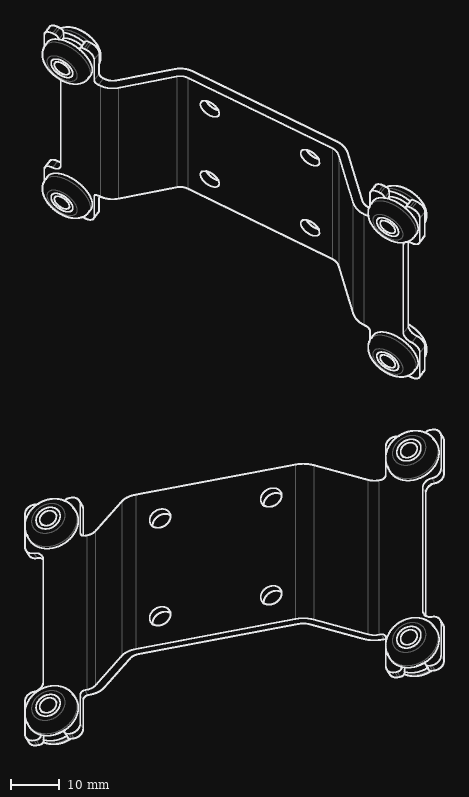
import cadquery as cq
import math

LENGTH = 90.0
DEPTH = 15.8
HEIGHT = 58.0
SHEET = 2.0
HALF_SHEET = SHEET / 2
PLATE_HALF_HEIGHT = 19.0

MIDDLE_HALF = 17.3
BEND_RADIUS = 3.0
BEND_ANGLE = math.radians(45)

EAR = 12.0
EAR_X = (LENGTH - EAR) / 2
EAR_Z = (HEIGHT - EAR) / 2
EAR_ROUND = 2.0
WAIST_ROUND = 2.0
RELIEF_ROUND = 1.0
WAIST_STEP = EAR_ROUND + WAIST_ROUND

SEAT_RADIUS = 4.0
MOUTH_HALF = 2.5
MOUTH_ROUND = 1.0

GROMMET_RADIUS = 5.6
GROMMET_LENGTH = 7.65
GROMMET_ROUND = 2.0
SLEEVE_RADIUS = 2.6
SLEEVE_BORE_RADIUS = 1.8

HOLE_PITCH = 24.0
HOLE_DIAMETER = 4.5

RISE = DEPTH - HALF_SHEET - GROMMET_LENGTH / 2

MEAN_RADIUS = BEND_RADIUS + HALF_SHEET
SLOPE_RISE = RISE - 2 * MEAN_RADIUS * (1 - math.cos(BEND_ANGLE))
SLOPE_RUN = SLOPE_RISE / math.tan(BEND_ANGLE)
FLANGE_START = MIDDLE_HALF + SLOPE_RUN + 2 * MEAN_RADIUS * math.sin(BEND_ANGLE)

DIAGONAL = math.sqrt(0.5)


def xz_plane(y):
    """Plane at height y whose local axes are X and Z; it extrudes toward -Y."""
    return cq.Workplane("XZ", origin=(0, y, 0))


def bent_half():
    """Half of the middle plate, from X = 0 out to the end flange on the +X side."""
    upper_center = (MIDDLE_HALF, RISE - MEAN_RADIUS)
    lower_center = (FLANGE_START, MEAN_RADIUS)

    def upper(radius, angle):
        return (upper_center[0] + radius * math.sin(angle), upper_center[1] + radius * math.cos(angle))

    def lower(radius, angle):
        return (lower_center[0] - radius * math.sin(angle), lower_center[1] - radius * math.cos(angle))

    inside = BEND_RADIUS
    outside = BEND_RADIUS + SHEET
    half_angle = BEND_ANGLE / 2
    profile = (
        cq.Workplane("XY", origin=(0, 0, -PLATE_HALF_HEIGHT))
        .moveTo(0, RISE + HALF_SHEET)
        .lineTo(*upper(outside, 0))
        .threePointArc(upper(outside, half_angle), upper(outside, BEND_ANGLE))
        .lineTo(*lower(inside, BEND_ANGLE))
        .threePointArc(lower(inside, half_angle), lower(inside, 0))
        .lineTo(*lower(outside, 0))
        .threePointArc(lower(outside, half_angle), lower(outside, BEND_ANGLE))
        .lineTo(*upper(inside, BEND_ANGLE))
        .threePointArc(upper(inside, half_angle), upper(inside, 0))
        .lineTo(0, RISE - HALF_SHEET)
        .close()
    )
    return profile.extrude(2 * PLATE_HALF_HEIGHT)


def flange_quarter():
    """Upper half of the +X end flange with its ear and open seat."""
    inner = EAR_X - EAR / 2
    outer = EAR_X + EAR / 2
    top = EAR_Z + EAR / 2
    bottom = EAR_Z - EAR / 2
    waist = outer - WAIST_STEP
    mouth_z = EAR_Z + math.sqrt(SEAT_RADIUS**2 - MOUTH_HALF**2)
    near_lip = EAR_X - MOUTH_HALF
    far_lip = EAR_X + MOUTH_HALF

    def arc(sketch, center, radius, toward, end):
        """Quarter arc whose middle lies diagonally from center in direction toward."""
        middle = (center[0] + radius * DIAGONAL * toward[0], center[1] + radius * DIAGONAL * toward[1])
        return sketch.threePointArc(middle, end)

    edge = xz_plane(HALF_SHEET).moveTo(FLANGE_START, 0).lineTo(FLANGE_START, PLATE_HALF_HEIGHT)

    relief = (inner - RELIEF_ROUND, PLATE_HALF_HEIGHT + RELIEF_ROUND)
    edge = edge.lineTo(relief[0], PLATE_HALF_HEIGHT)
    edge = arc(edge, relief, RELIEF_ROUND, (1, -1), (inner, relief[1]))
    corner = (inner + EAR_ROUND, top - EAR_ROUND)
    edge = edge.lineTo(inner, corner[1])
    edge = arc(edge, corner, EAR_ROUND, (-1, 1), (corner[0], top))

    lip = (near_lip - MOUTH_ROUND, top - MOUTH_ROUND)
    edge = edge.lineTo(lip[0], top)
    edge = arc(edge, lip, MOUTH_ROUND, (1, 1), (near_lip, lip[1]))
    edge = edge.lineTo(near_lip, mouth_z)
    edge = edge.threePointArc((EAR_X, EAR_Z - SEAT_RADIUS), (far_lip, mouth_z))
    lip = (far_lip + MOUTH_ROUND, top - MOUTH_ROUND)
    edge = edge.lineTo(far_lip, lip[1])
    edge = arc(edge, lip, MOUTH_ROUND, (-1, 1), (lip[0], top))

    corner = (outer - EAR_ROUND, top - EAR_ROUND)
    edge = edge.lineTo(corner[0], top)
    edge = arc(edge, corner, EAR_ROUND, (1, 1), (outer, corner[1]))
    corner = (outer - EAR_ROUND, bottom + EAR_ROUND)
    edge = edge.lineTo(outer, corner[1])
    edge = arc(edge, corner, EAR_ROUND, (1, -1), (corner[0], bottom))
    hollow = (waist + WAIST_ROUND, bottom - WAIST_ROUND)
    edge = arc(edge, hollow, WAIST_ROUND, (-1, 1), (waist, hollow[1]))

    return edge.lineTo(waist, 0).close().extrude(SHEET)


def make_bracket():
    """Bent sheet bracket with four open seats and four mounting holes."""
    quarter = flange_quarter()
    half = bent_half().union(quarter).union(quarter.mirror("XY"))
    bracket = half.union(half.mirror("YZ"))
    holes = (
        xz_plane(RISE + SHEET)
        .rect(HOLE_PITCH, HOLE_PITCH, forConstruction=True)
        .vertices()
        .circle(HOLE_DIAMETER / 2)
        .extrude(2 * SHEET)
    )
    return bracket.cut(holes)


def make_grommet(x, z):
    """Rounded rubber grommet, grooved to sit in an ear and bored for its sleeve."""
    half_length = GROMMET_LENGTH / 2
    body = xz_plane(half_length).center(x, z).circle(GROMMET_RADIUS).extrude(GROMMET_LENGTH)
    body = body.faces("<Y or >Y").edges().fillet(GROMMET_ROUND)
    groove = (
        xz_plane(HALF_SHEET)
        .center(x, z)
        .circle(GROMMET_RADIUS + SHEET)
        .circle(SEAT_RADIUS)
        .extrude(SHEET)
    )
    bore = xz_plane(half_length).center(x, z).circle(SLEEVE_RADIUS).extrude(GROMMET_LENGTH)
    return body.cut(groove).cut(bore)


def make_sleeve(x, z):
    """Plain tube, flush with both ends of its grommet."""
    return (
        xz_plane(GROMMET_LENGTH / 2)
        .center(x, z)
        .circle(SLEEVE_RADIUS)
        .circle(SLEEVE_BORE_RADIUS)
        .extrude(GROMMET_LENGTH)
    )


bracket = make_bracket()
grommets = []
sleeves = []
for x in (-EAR_X, EAR_X):
    for z in (-EAR_Z, EAR_Z):
        grommets.append(make_grommet(x, z).val())
        sleeves.append(make_sleeve(x, z).val())

result = cq.Compound.makeCompound([bracket.val(), *grommets, *sleeves])